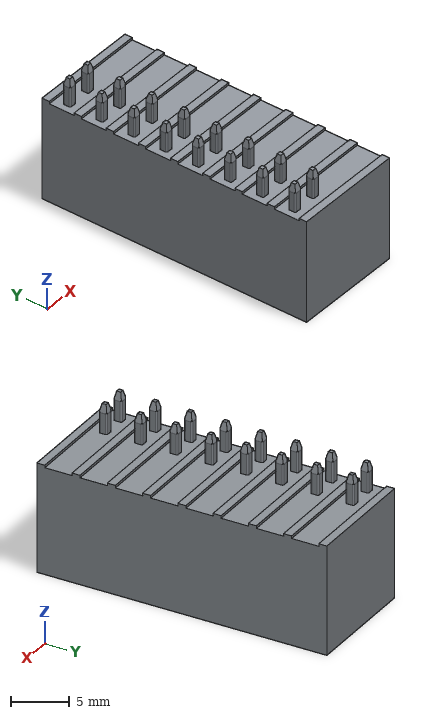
import cadquery as cq

HOUSING_WIDTH = 11.6
HOUSING_HEIGHT = 10.8

POSITION_COUNT = 8
POSITION_PITCH = 3.5
RIB_WIDTH = 0.8
RIB_HEIGHT = 0.25
CHANNEL_WIDTH = POSITION_PITCH - RIB_WIDTH
HOUSING_LENGTH = POSITION_COUNT * POSITION_PITCH + RIB_WIDTH
CHANNEL_FLOOR = HOUSING_HEIGHT - RIB_HEIGHT

PIN_TOP = 13.4
PIN_WIDTH = 0.8
PIN_EDGE_RADIUS = 0.14
TIP_WIDTH = 0.4
TIP_HEIGHT = 0.82
PIN_ROW_OFFSET = 1.1
PIN_ROW_SPACING = 2.5

FIRST_ROW_X = PIN_ROW_OFFSET - HOUSING_WIDTH / 2
ROW_XS = [FIRST_ROW_X, FIRST_ROW_X + PIN_ROW_SPACING]
FIRST_POSITION_Y = -POSITION_PITCH * (POSITION_COUNT - 1) / 2
POSITION_YS = [FIRST_POSITION_Y + i * POSITION_PITCH for i in range(POSITION_COUNT)]


def make_housing():
    """Plain block with one channel across its top at every position."""
    block = cq.Workplane("XY").rect(HOUSING_WIDTH, HOUSING_LENGTH).extrude(HOUSING_HEIGHT)
    channels = (
        cq.Workplane("XY", origin=(0, 0, CHANNEL_FLOOR))
        .pushPoints([(0, y) for y in POSITION_YS])
        .rect(HOUSING_WIDTH, CHANNEL_WIDTH)
        .extrude(RIB_HEIGHT)
    )
    return block.cut(channels)


def make_pin():
    """One pin on the Z axis, standing on the channel floor."""
    pin_height = PIN_TOP - CHANNEL_FLOOR
    shank_height = pin_height - TIP_HEIGHT
    rounded_bar = (
        cq.Workplane("XY", origin=(0, 0, CHANNEL_FLOOR))
        .rect(PIN_WIDTH, PIN_WIDTH)
        .extrude(pin_height)
        .edges("|Z")
        .fillet(PIN_EDGE_RADIUS)
    )
    tapered_bar = (
        cq.Workplane("XY", origin=(0, 0, CHANNEL_FLOOR))
        .rect(PIN_WIDTH, PIN_WIDTH)
        .extrude(shank_height)
        .faces(">Z")
        .workplane()
        .rect(PIN_WIDTH, PIN_WIDTH)
        .workplane(offset=TIP_HEIGHT)
        .rect(TIP_WIDTH, TIP_WIDTH)
        .loft(combine=True)
    )
    return rounded_bar.intersect(tapered_bar)


result = make_housing()
pin = make_pin()
for row_x in ROW_XS:
    for position_y in POSITION_YS:
        result = result.union(pin.translate((row_x, position_y, 0)))